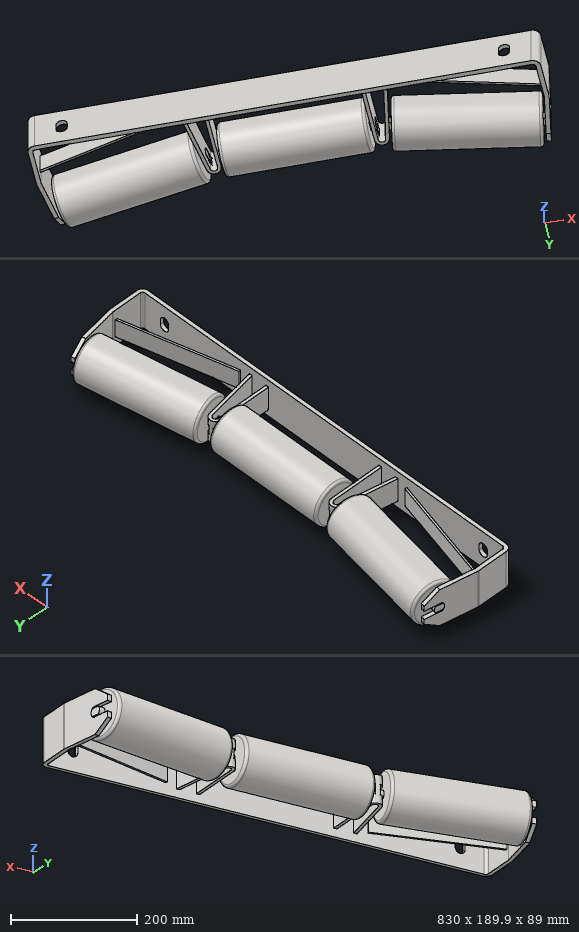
import cadquery as cq
import math

frame_length = 830
frame_height = 80
frame_thickness = 8
frame_bend_radius = 5
arm_bend_y = 75
arm_length = 104.5
arm_tip_height = 40
arm_corner_cut = 30
mount_spacing = 716
mount_slot_width = 18
mount_slot_height = 28

tilt = 10
roller_diameter = 89
roller_length = 240
roller_edge_radius = 5
middle_roller_y = 100
outer_roller_y = 126
axle_diameter = 20
axle_flats = 14
axle_slot_width = 18
axle_gap = 4

support_thickness = 6
support_height = 50
support_bend_radius = 6
support_top_y = 126

cut_margin = 1

brace_thickness = 4
brace_height = 38
brace_tilt = 14.5
brace_foot_x = 187

half_length = frame_length / 2
sin_tilt = math.sin(math.radians(tilt))
cos_tilt = math.cos(math.radians(tilt))
tan_tilt = math.tan(math.radians(tilt))
axle_radius = axle_diameter / 2
axle_reach = roller_length / 2 + axle_gap
outer_axle_end = axle_reach + frame_thickness
middle_axle_end = axle_reach + support_thickness
outer_roller_x = half_length - (outer_axle_end + (outer_roller_y - arm_bend_y) * sin_tilt) / cos_tilt

support_outer_radius = support_bend_radius + support_thickness
crest_x = axle_reach + support_outer_radius
crest_y = support_top_y - support_outer_radius
leaning_far_face = (
    (outer_roller_x - crest_x) * cos_tilt + (outer_roller_y - crest_y) * sin_tilt - support_bend_radius
)


def mirror_x(body):
    """The body's twin on the other side of the middle plane X = 0."""
    return body.mirror("YZ")


def outer_roller_plane(origin_x, origin_y):
    """Plane at a point of the +X roller: local X runs up the arm, local Z along the axis outward."""
    return cq.Plane(
        origin=(origin_x, origin_y, 0),
        xDir=(-sin_tilt, cos_tilt, 0),
        normal=(cos_tilt, sin_tilt, 0),
    )


outer_roller_axis = outer_roller_plane(outer_roller_x, outer_roller_y)
middle_roller_axis = cq.Plane(origin=(0, middle_roller_y, 0), xDir=(0, 1, 0), normal=(1, 0, 0))


def across_axis(axis_plane, distance):
    """Workplane square to a roller's axis, at a distance from the roller's centre."""
    return cq.Workplane(axis_plane).workplane(offset=distance)


def axle_slot(axis_plane, near_face, far_face):
    """Cutter for an open-topped axle slot through a plate between two places on the roller's axis."""
    start = near_face - cut_margin
    length = far_face + cut_margin - start
    slot_top = roller_diameter
    slot_half_width = axle_slot_width / 2
    arc_rise = math.sqrt(axle_radius**2 - slot_half_width**2)
    return (
        across_axis(axis_plane, start)
        .moveTo(slot_top, -slot_half_width)
        .lineTo(-arc_rise, -slot_half_width)
        .threePointArc((-axle_radius, 0), (-arc_rise, slot_half_width))
        .lineTo(slot_top, slot_half_width)
        .close()
        .extrude(length)
    )


def frame_blank():
    bend_to_inner = frame_thickness * math.tan(math.radians(tilt / 2))
    inner_x = half_length - frame_thickness
    inner_bend_y = arm_bend_y - bend_to_inner
    tip_outer = (half_length - arm_length * sin_tilt, arm_bend_y + arm_length * cos_tilt)
    tip_inner = (tip_outer[0] - frame_thickness * cos_tilt, tip_outer[1] - frame_thickness * sin_tilt)
    outer_side = [(half_length, 0), (half_length, arm_bend_y), tip_outer]
    inner_side = [tip_inner, (inner_x, inner_bend_y), (inner_x, frame_thickness)]
    right_side = outer_side + inner_side
    left_side = [(-x, y) for x, y in reversed(right_side)]
    blank = (
        cq.Workplane("XY")
        .polyline(right_side + left_side)
        .close()
        .extrude(frame_height / 2, both=True)
    )
    tolerance = 0.1
    for radius, bends in (
        (frame_bend_radius + frame_thickness, outer_side[:2]),
        (frame_bend_radius, inner_side[1:]),
    ):
        for bend_x, bend_y in bends:
            for side in (-1, 1):
                near_bend = cq.selectors.BoxSelector(
                    (side * bend_x - tolerance, bend_y - tolerance, -frame_height),
                    (side * bend_x + tolerance, bend_y + tolerance, frame_height),
                )
                blank = blank.edges("|Z").edges(near_bend).fillet(radius)
    return blank


def arm_corner_cuts():
    """Wedges that trim the top and bottom corners of the +X arm's tip."""
    tip_plane = outer_roller_plane(
        half_length - arm_length * sin_tilt, arm_bend_y + arm_length * cos_tilt
    )
    cuts = cq.Workplane(tip_plane)
    half_height = frame_height / 2
    for side in (-1, 1):
        cuts = cuts.polyline([
            (-arm_corner_cut, side * half_height),
            (0, side * half_height),
            (0, side * arm_tip_height / 2),
        ]).close()
    return cuts.extrude(2 * frame_thickness, both=True)


def make_frame():
    slot = axle_slot(outer_roller_axis, axle_reach, outer_axle_end)
    arm_cuts = arm_corner_cuts().union(slot)
    mount_slots = (
        cq.Workplane("XZ")
        .pushPoints([(-mount_spacing / 2, 0), (mount_spacing / 2, 0)])
        .slot2D(mount_slot_height, mount_slot_width, 90)
        .extrude(-frame_thickness)
    )
    return frame_blank().cut(arm_cuts).cut(mirror_x(arm_cuts)).cut(mount_slots)


def make_support():
    def leaning_face_x(radius, y):
        return crest_x + radius / cos_tilt + (crest_y - y) * tan_tilt

    def crest_tangent(radius):
        return (crest_x + radius * cos_tilt, crest_y + radius * sin_tilt)

    foot_y = frame_thickness
    inner = support_bend_radius
    outer = support_outer_radius
    strip = (
        cq.Workplane("XY")
        .moveTo(crest_x - outer, foot_y)
        .lineTo(crest_x - outer, crest_y)
        .threePointArc((crest_x, crest_y + outer), crest_tangent(outer))
        .lineTo(leaning_face_x(outer, foot_y), foot_y)
        .lineTo(leaning_face_x(inner, foot_y), foot_y)
        .lineTo(*crest_tangent(inner))
        .threePointArc((crest_x, crest_y + inner), (crest_x - inner, crest_y))
        .lineTo(crest_x - inner, foot_y)
        .close()
        .extrude(support_height / 2, both=True)
    )
    strip = strip.cut(axle_slot(middle_roller_axis, axle_reach, middle_axle_end))
    return strip.cut(axle_slot(outer_roller_axis, -leaning_far_face, -axle_reach))


def make_brace():
    arm_x = half_length - frame_thickness
    slope_angle = math.radians(brace_tilt)
    foot_y = frame_thickness
    arm_y = foot_y + (arm_x - brace_foot_x) * math.tan(slope_angle)
    foot_corner_x = brace_foot_x - brace_thickness * math.sin(slope_angle)
    foot_corner_y = foot_y + brace_thickness * math.cos(slope_angle)
    return (
        cq.Workplane("XY")
        .polyline([
            (brace_foot_x, foot_y),
            (arm_x, arm_y),
            (arm_x, arm_y + brace_thickness / math.cos(slope_angle)),
            (foot_corner_x, foot_corner_y),
        ])
        .close()
        .extrude(brace_height / 2, both=True)
    )


def make_roller(axis_plane, axle_start, axle_end):
    drum = (
        across_axis(axis_plane, -roller_length / 2)
        .circle(roller_diameter / 2)
        .extrude(roller_length)
        .edges()
        .fillet(roller_edge_radius)
    )
    axle_length = axle_end - axle_start
    axle_base = across_axis(axis_plane, axle_start)
    flats = axle_base.rect(axle_diameter, axle_flats).extrude(axle_length)
    axle = axle_base.circle(axle_radius).extrude(axle_length).intersect(flats)
    return drum.union(axle)


frame = make_frame()
support = make_support()
brace = make_brace()
outer_roller = make_roller(outer_roller_axis, -leaning_far_face, outer_axle_end)
middle_roller = make_roller(middle_roller_axis, -middle_axle_end, middle_axle_end)

bodies = [frame.val(), middle_roller.val()]
for body in (support, brace, outer_roller):
    bodies += [body.val(), mirror_x(body).val()]

result = cq.Compound.makeCompound(bodies)